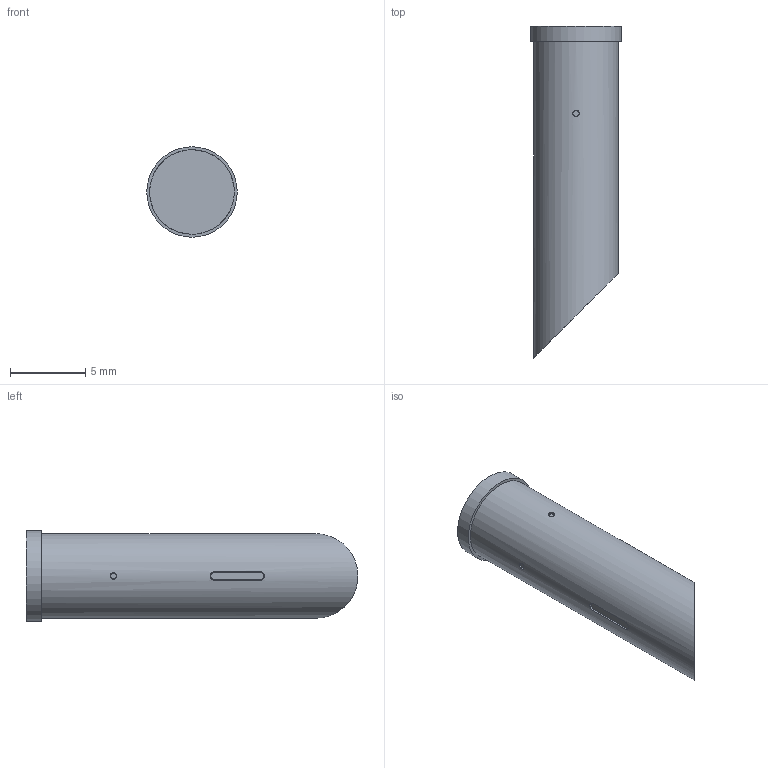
import cadquery as cq
import math

total_length = 22.0
body_diameter = 5.6
flange_diameter = 6.0
flange_thickness = 1.0

marking_depth = 0.1
dot_diameter = 0.44
dot_wall_inset = 0.02
dot_distance = 5.8
slot_length = 3.6
slot_width = 0.6
slot_wall_inset = 0.05
slot_distance = 14.0

body_radius = body_diameter / 2
along_y = 90
side_turn = -90


def make_cylinder(diameter, length):
    """Cylinder from Y = 0 toward -Y."""
    return cq.Workplane("XZ").circle(diameter / 2).extrude(length)


def make_tip_cutter():
    """Prism removing the +X side of the tip along a 45 degree plane."""
    tip_y = -total_length
    heel_y = tip_y + body_diameter
    return (
        cq.Workplane("XY")
        .moveTo(-body_radius, tip_y)
        .lineTo(body_radius, heel_y)
        .lineTo(body_radius, tip_y)
        .close()
        .extrude(body_radius, both=True)
    )


def marking_plane(distance):
    """Plane touching the +Z side of the body, at a distance from the back."""
    return cq.Workplane("XY", origin=(0, -distance, body_radius))


def sink(outline, wall_inset):
    """Extrude a marking outline down to its floor with a leaning wall."""
    wall_angle = math.degrees(math.atan(wall_inset / marking_depth))
    return outline.extrude(-marking_depth, taper=wall_angle)


def make_dot_cutter():
    outline = marking_plane(dot_distance).circle(dot_diameter / 2)
    return sink(outline, dot_wall_inset)


def make_slot_cutter():
    outline = marking_plane(slot_distance).slot2D(slot_length, slot_width, along_y)
    return sink(outline, slot_wall_inset)


def turn_to_side(cutter):
    """Carry a cutter from the +Z side of the body to the -X side."""
    return cutter.rotate((0, 0, 0), (0, 1, 0), side_turn)


body = make_cylinder(body_diameter, total_length).cut(make_tip_cutter())
flange = make_cylinder(flange_diameter, flange_thickness)

result = (
    body.union(flange)
    .cut(make_dot_cutter())
    .cut(turn_to_side(make_dot_cutter()))
    .cut(turn_to_side(make_slot_cutter()))
)